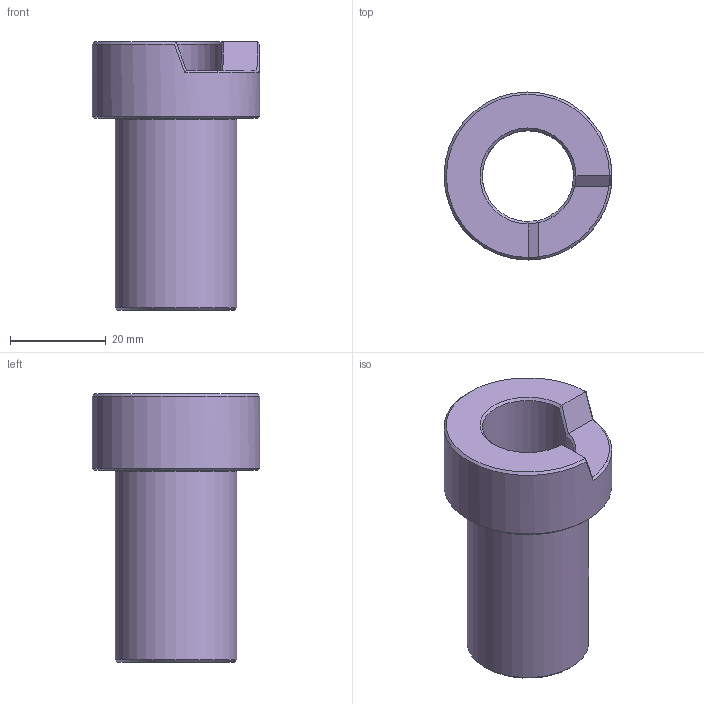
import cadquery as cq
import math

total_height = 56.0
head_diameter = 35.0
head_height = 16.0
shank_diameter = 25.4
bore_diameter = 19.0
edge_chamfer = 0.5
neck_fillet = 0.2

notch_depth = 6.0
notch_wall_angle = 20.0

seam_angle = -60.0

shank_height = total_height - head_height
notch_floor_z = total_height - notch_depth


def make_body():
    """Bored shank and head, with chamfered lower rims and a small fillet where they meet."""
    shank = cq.Workplane("XY").circle(shank_diameter / 2).extrude(shank_height)
    shank = shank.faces("<Z").edges().chamfer(edge_chamfer)

    head = cq.Workplane("XY", origin=(0, 0, shank_height)).circle(head_diameter / 2).extrude(head_height)
    head = head.faces("<Z").edges().chamfer(edge_chamfer)

    body = shank.union(head)
    shoulder_edges = body.faces("<Z[1]").edges()
    body = body.newObject([min(shoulder_edges.vals(), key=lambda edge: edge.Length())]).fillet(neck_fillet)

    bore = cq.Workplane("XY").circle(bore_diameter / 2).extrude(total_height)
    return body.cut(bore).rotate((0, 0, 0), (0, 0, 1), seam_angle)


def make_notch():
    """Tapered block in the +X, -Y quadrant, its corner on the axis at the top face."""
    block_side = head_diameter
    return (
        cq.Workplane("XY", origin=(block_side / 2, -block_side / 2, total_height))
        .rect(block_side, block_side)
        .extrude(-notch_depth, taper=notch_wall_angle)
    )


def chamfer_top_rims(body):
    """Chamfer the outer and inner rims, following them down the notch walls and across its floor."""
    top_zone = cq.selectors.BoxSelector(
        (-head_diameter, -head_diameter, notch_floor_z - edge_chamfer),
        (head_diameter, head_diameter, total_height + edge_chamfer),
    )
    rim_arcs = body.edges("%CIRCLE").edges(top_zone)
    wall_curves = body.edges("%ELLIPSE")
    return rim_arcs.add(wall_curves).chamfer(edge_chamfer)


result = chamfer_top_rims(make_body().cut(make_notch()))